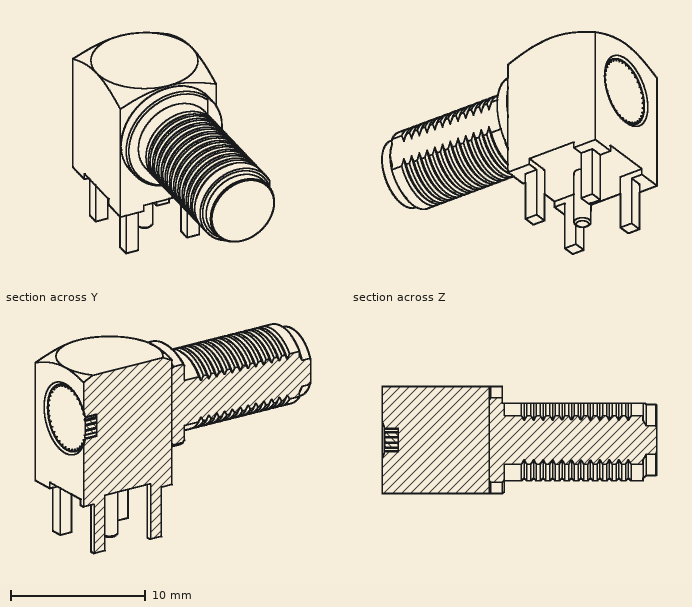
import cadquery as cq
import math

OVERALL_LENGTH = 20.5
OVERALL_HEIGHT = 14.37
BLOCK_WIDTH = 8.0
BLOCK_CENTRE_X = BLOCK_WIDTH / 2
FOOT_BOTTOM_Z = 3.95
CHANNEL_TOP_Z = 4.45
TOP_CHAMFER_ANGLE = 30.0
LEG_SPACING = 5.08
LEG_WIDTH = 1.02
CHANNEL_WIDTH = LEG_SPACING - LEG_WIDTH
AXIS_Z = 10.27

CAP_DIAMETER = 5.17
CAP_THICKNESS = 1.02
CAP_RECESS = 0.16
CAP_MOUTH_DIAMETER = 5.58
KNURL_COUNT = 36
KNURL_DEPTH = 0.16
KNURL_WIDTH = 0.33

FLANGE_DIAMETER = BLOCK_WIDTH
FLANGE_END_X = 9.12
FLANGE_INNER_CHAMFER = 0.1
FLANGE_OUTER_CHAMFER = 0.15
THREAD_DIAMETER = 6.1
FIRST_GROOVE_X = 10.4
LAST_GROOVE_X = 18.16
THREAD_END_X = 19.48
GROOVE_COUNT = 12
THREAD_PITCH = (LAST_GROOVE_X - FIRST_GROOVE_X) / (GROOVE_COUNT - 1)
GROOVE_DEPTH = 0.2
GROOVE_WIDTH = 2 * GROOVE_DEPTH
NOSE_DIAMETER = 5.33
NOSE_START_X = 19.7
NOSE_STEP_DIAMETER = 5.7
NOSE_CHAMFER = 0.08
FLAT_Y = 2.75

PIN_DIAMETER = 1.27
PIN_TIP_DIAMETER = 0.95
PIN_CHAMFER = (PIN_DIAMETER - PIN_TIP_DIAMETER) / 2


def turned_about_barrel_axis(profile):
    """Solid of revolution from (x, radius) points, closed along the barrel axis."""
    first_x, last_x = profile[0][0], profile[-1][0]
    outline = [(first_x, 0), *profile, (last_x, 0)]
    return (
        cq.Workplane("XZ")
        .polyline(outline)
        .close()
        .revolve(360, (0, 0, 0), (1, 0, 0))
        .translate((0, 0, AXIS_Z))
    )


def make_top_cone():
    """Upright cone whose intersection with the block bevels its four top corners."""
    height = OVERALL_HEIGHT - FOOT_BOTTOM_Z
    top_radius = BLOCK_WIDTH / 2
    bottom_radius = top_radius + height / math.tan(math.radians(TOP_CHAMFER_ANGLE))
    cone = cq.Solid.makeCone(bottom_radius, top_radius, height)
    return cq.Workplane(obj=cone).translate((BLOCK_CENTRE_X, 0, FOOT_BOTTOM_Z))


def make_housing():
    block_height = OVERALL_HEIGHT - FOOT_BOTTOM_Z
    base = cq.Workplane("XY", origin=(BLOCK_CENTRE_X, 0, FOOT_BOTTOM_Z))
    block = base.rect(BLOCK_WIDTH, BLOCK_WIDTH).extrude(block_height).intersect(make_top_cone())

    channel_depth = CHANNEL_TOP_Z - FOOT_BOTTOM_Z
    for size_x, size_y in ((CHANNEL_WIDTH, BLOCK_WIDTH), (BLOCK_WIDTH, CHANNEL_WIDTH)):
        block = block.cut(base.rect(size_x, size_y).extrude(channel_depth))

    legs = base.rarray(LEG_SPACING, LEG_SPACING, 2, 2).rect(LEG_WIDTH, LEG_WIDTH).extrude(-FOOT_BOTTOM_Z)

    cap_bore = turned_about_barrel_axis([
        (0, CAP_MOUTH_DIAMETER / 2),
        (CAP_RECESS, CAP_DIAMETER / 2),
        (CAP_RECESS + CAP_THICKNESS, CAP_DIAMETER / 2),
    ])
    return block.union(legs).cut(cap_bore)


def make_cap():
    """Disc with V-shaped knurl notches around its rim."""
    radius = CAP_DIAMETER / 2
    step = 2 * math.pi / KNURL_COUNT
    half_notch = KNURL_WIDTH / CAP_DIAMETER

    def rim_point(distance, angle):
        return (distance * math.cos(angle), distance * math.sin(angle))

    outline = cq.Workplane("YZ", origin=(CAP_RECESS, 0, AXIS_Z))
    outline = outline.moveTo(*rim_point(radius, half_notch - step / 2))
    for tooth in range(KNURL_COUNT):
        tooth_angle = tooth * step
        notch_angle = tooth_angle + step / 2
        outline = (
            outline
            .threePointArc(rim_point(radius, tooth_angle), rim_point(radius, notch_angle - half_notch))
            .lineTo(*rim_point(radius - KNURL_DEPTH, notch_angle))
            .lineTo(*rim_point(radius, notch_angle + half_notch))
        )
    return outline.close().extrude(CAP_THICKNESS)


def make_barrel():
    flange_radius = FLANGE_DIAMETER / 2
    thread_radius = THREAD_DIAMETER / 2
    nose_radius = NOSE_DIAMETER / 2

    profile = [
        (BLOCK_WIDTH, flange_radius - FLANGE_INNER_CHAMFER),
        (BLOCK_WIDTH + FLANGE_INNER_CHAMFER, flange_radius),
        (FLANGE_END_X - FLANGE_OUTER_CHAMFER, flange_radius),
        (FLANGE_END_X, flange_radius - FLANGE_OUTER_CHAMFER),
        (FLANGE_END_X, thread_radius),
    ]
    for groove in range(GROOVE_COUNT):
        groove_x = FIRST_GROOVE_X + groove * THREAD_PITCH
        profile += [
            (groove_x, thread_radius),
            (groove_x + GROOVE_WIDTH / 2, thread_radius - GROOVE_DEPTH),
            (groove_x + GROOVE_WIDTH, thread_radius),
        ]
    profile += [
        (THREAD_END_X, thread_radius),
        (THREAD_END_X, NOSE_STEP_DIAMETER / 2),
        (NOSE_START_X, nose_radius),
        (OVERALL_LENGTH - NOSE_CHAMFER, nose_radius),
        (OVERALL_LENGTH, nose_radius - NOSE_CHAMFER),
    ]
    barrel = turned_about_barrel_axis(profile)

    flat_start_x = FLANGE_END_X - FLANGE_OUTER_CHAMFER
    flat_cutter = cq.Workplane("XY").box(
        OVERALL_LENGTH - flat_start_x, flange_radius, FLANGE_DIAMETER, centered=(False, False, True)
    )
    return barrel.cut(flat_cutter.translate((flat_start_x, FLAT_Y, AXIS_Z)))


def make_pin():
    """Round pin hanging from the crossing of the channels, level with the leg ends."""
    return (
        cq.Workplane("XY", origin=(BLOCK_CENTRE_X, 0, 0))
        .circle(PIN_DIAMETER / 2)
        .extrude(CHANNEL_TOP_Z)
        .faces("<Z")
        .chamfer(PIN_CHAMFER)
    )


housing = make_housing()
cap = make_cap()
barrel = make_barrel()
pin = make_pin()

result = cq.Compound.makeCompound([housing.val(), cap.val(), barrel.val(), pin.val()])